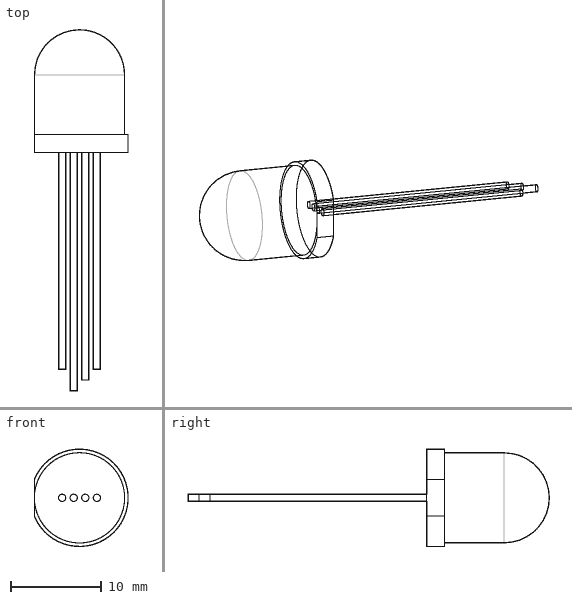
import cadquery as cq

lens_radius = 5.0
body_length = 13.6
flange_radius = 5.4
flange_thickness = 2.0
flat_offset = lens_radius

lead_diameter = 0.8
lead_pitch = 1.28
lead_lengths = [23.97, 26.35, 25.15, 23.97]

dome_start = body_length - lens_radius


def make_lens():
    """Revolved barrel and hemispherical dome, standing on the base face."""
    dome_mid = lens_radius * 0.5 ** 0.5
    return (
        cq.Workplane("XY")
        .lineTo(lens_radius, 0)
        .lineTo(lens_radius, dome_start)
        .threePointArc((dome_mid, dome_start + dome_mid), (0, body_length))
        .close()
        .revolve(360, (0, 0, 0), (0, 1, 0))
    )


def make_flange():
    """Round base flange with one flat on its -X side."""
    disc = cq.Workplane("XZ").circle(flange_radius).extrude(-flange_thickness)
    keep_width = flat_offset + flange_radius
    keep_box = cq.Workplane("XY").box(
        keep_width, flange_thickness, 2 * flange_radius, centered=(False, False, True)
    ).translate((-flat_offset, 0, 0))
    return disc.intersect(keep_box)


def make_lead(x, length):
    """Round wire lead running from the base face toward -Y."""
    return cq.Workplane("XZ").center(x, 0).circle(lead_diameter / 2).extrude(length)


housing = make_lens().union(make_flange())

first_lead_x = -lead_pitch * (len(lead_lengths) - 1) / 2
leads = []
for index, length in enumerate(lead_lengths):
    lead = make_lead(first_lead_x + index * lead_pitch, length)
    leads.append(lead.val())

result = cq.Compound.makeCompound([housing.val(), *leads])